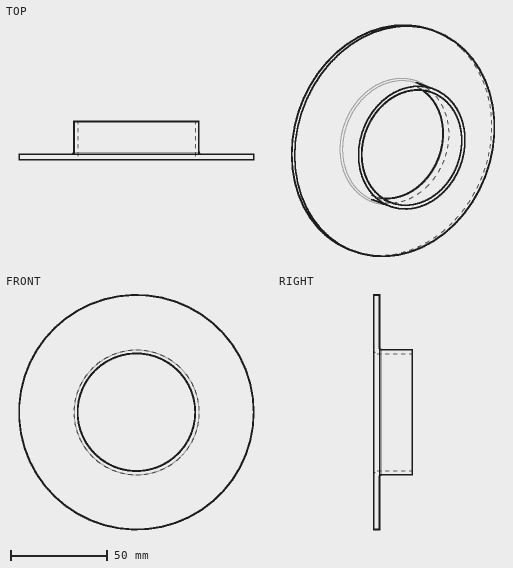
import cadquery as cq

flange_diameter = 122.0
flange_thickness = 3.0
bore_diameter = 61.0
neck_diameter = 65.0
total_depth = 20.0
bore_entry_radius = 2.0
neck_root_radius = 1.0

wall_thickness = (neck_diameter - bore_diameter) / 2
front_y = -total_depth / 2
neck_root_y = front_y + flange_thickness


def disc(diameter, depth):
    """Cylinder along +Y, starting at the front face of the flange."""
    front_plane = cq.Workplane("XZ", origin=(0, front_y, 0))
    return front_plane.circle(diameter / 2).extrude(-depth)


def edges_at(y, diameter):
    """Selector box around the circular edge of the given diameter at depth y."""
    reach = diameter / 2 + wall_thickness / 4
    margin = flange_thickness / 4
    return cq.selectors.BoxSelector(
        (-reach, y - margin, -reach), (reach, y + margin, reach), boundingbox=True
    )


body = disc(flange_diameter, flange_thickness).union(disc(neck_diameter, total_depth))

body = body.edges(edges_at(neck_root_y, neck_diameter)).fillet(neck_root_radius)

body = body.cut(disc(bore_diameter, total_depth))
result = body.edges(edges_at(front_y, bore_diameter)).fillet(bore_entry_radius)